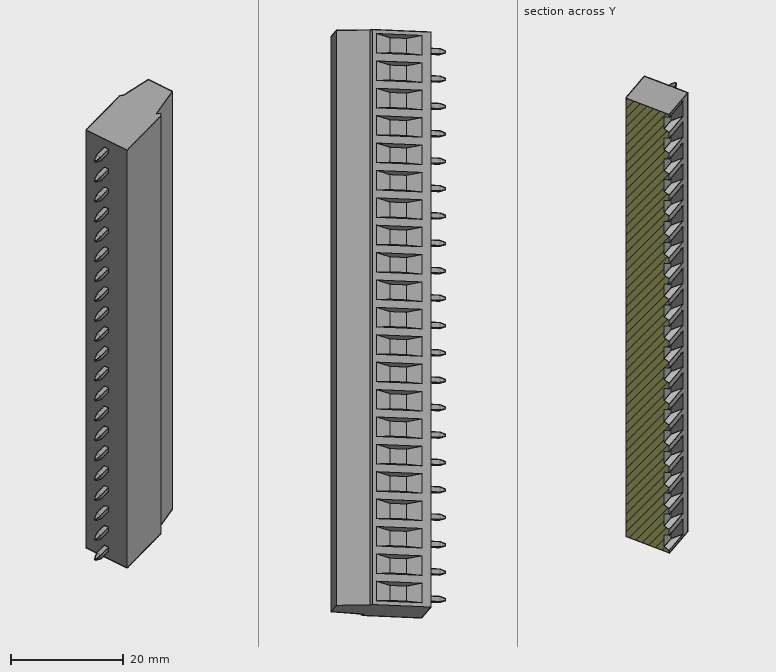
import cadquery as cq

pole_count = 21
height = 105.0
pitch = height / pole_count
body_width = 8.9
total_depth = 20.3
pin_length = 3.5
half_width = body_width / 2
crown_y = total_depth - pin_length

crown_half_width = 2.6
shoulder_y = 10.6
shoulder_chamfer_depth = 0.4
left_slope_foot = 4.0
right_slope_foot = 3.5
right_ledge_outer = 4.1

funnel_mouth_length = 8.2
funnel_mouth_height = 3.6
funnel_floor_length = 2.9
funnel_floor_height = 2.7
funnel_depth = 1.0
funnel_y = 5.8

pin_width = 0.9
pin_tip_width = 0.3
pin_tip_length = 1.0
pin_embed = 0.5


def make_housing():
    """Shouldered, tapering profile extruded over the full height."""
    shoulder_top_y = shoulder_y + shoulder_chamfer_depth
    outline = [
        (-half_width, 0),
        (half_width, 0),
        (half_width, shoulder_y),
        (right_ledge_outer, shoulder_top_y),
        (right_slope_foot, shoulder_y),
        (crown_half_width, crown_y),
        (-crown_half_width, crown_y),
        (-left_slope_foot, shoulder_top_y),
        (-half_width, shoulder_y),
    ]
    return cq.Workplane("XY").polyline(outline).close().extrude(height)


def make_funnel(z):
    """Rectangular funnel narrowing from its mouth on the -X side to a flat floor."""
    return (
        cq.Workplane("YZ", origin=(-half_width, funnel_y, z))
        .rect(funnel_mouth_length, funnel_mouth_height)
        .workplane(offset=funnel_depth)
        .rect(funnel_floor_length, funnel_floor_height)
        .loft(ruled=True)
    )


def make_pin(z):
    """Square pin with a tapered tip, pointing toward -Y and rooted inside the housing."""
    shank_length = pin_length - pin_tip_length
    shank = (
        cq.Workplane("XZ", origin=(0, pin_embed, z))
        .rect(pin_width, pin_width)
        .extrude(pin_embed + shank_length)
    )
    tip = (
        cq.Workplane("XZ", origin=(0, -shank_length, z))
        .rect(pin_width, pin_width)
        .workplane(offset=pin_tip_length)
        .rect(pin_tip_width, pin_tip_width)
        .loft(ruled=True)
    )
    return shank.union(tip)


result = make_housing()
for pole in range(pole_count):
    pole_z = pitch / 2 + pole * pitch
    result = result.cut(make_funnel(pole_z)).union(make_pin(pole_z))